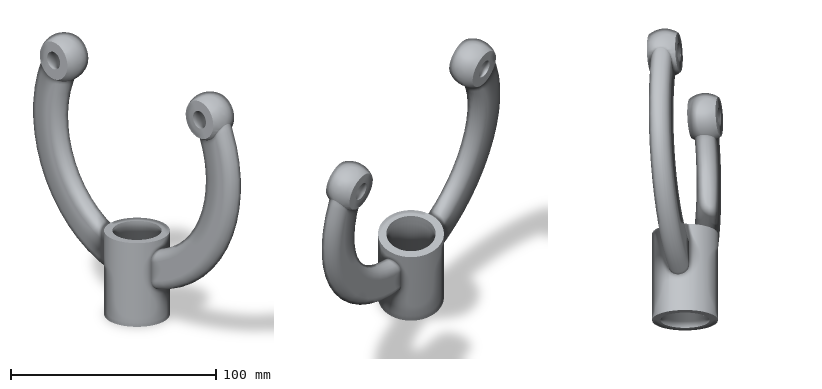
import cadquery as cq
import math

socket_diameter = 32.0
bore_diameter = 24.0
socket_height = 44.1

arm_outer_radius = 70.9
arm_width = 20.1
arm_thickness = 10.0
arm_mid_radius = arm_outer_radius - arm_width / 2

overall_height = 132.0
ball_diameter = 24.0
ball_thickness = 14.0
ball_hole_diameter = 9.0
ball_x = 51.3
ball_z = overall_height - ball_diameter / 2

arm_rise = math.sqrt(arm_mid_radius**2 - ball_x**2)
arm_center_z = ball_z - arm_rise
tip_angle = math.degrees(math.atan2(arm_rise, ball_x))
arm_sweep = 180 + 2 * tip_angle


def make_arm():
    """Revolve the slot-shaped section about Y, from ball to ball below the centre."""
    arm = (
        cq.Workplane("XY")
        .center(arm_mid_radius, 0)
        .slot2D(arm_width, arm_thickness)
        .revolve(arm_sweep, (-arm_mid_radius, 0, 0), (-arm_mid_radius, 1, 0))
    )
    return arm.rotate((0, 0, 0), (0, 1, 0), -tip_angle).translate((0, 0, arm_center_z))


def make_ball(x):
    """Sphere cut flat on its front and back faces."""
    slab = cq.Workplane("XY").box(ball_diameter, ball_thickness, ball_diameter)
    ball = cq.Workplane("XY").sphere(ball_diameter / 2).intersect(slab)
    return ball.translate((x, 0, ball_z))


def make_ball_hole(x):
    """Cross hole along Y through a ball and the arm end inside it."""
    return (
        cq.Workplane("XZ")
        .center(x, ball_z)
        .circle(ball_hole_diameter / 2)
        .extrude(ball_thickness, both=True)
    )


socket = cq.Workplane("XY").circle(socket_diameter / 2).extrude(socket_height)
bore = cq.Workplane("XY").circle(bore_diameter / 2).extrude(socket_height)

result = make_arm().union(socket).cut(bore)
for x in (-ball_x, ball_x):
    result = result.union(make_ball(x)).cut(make_ball_hole(x))